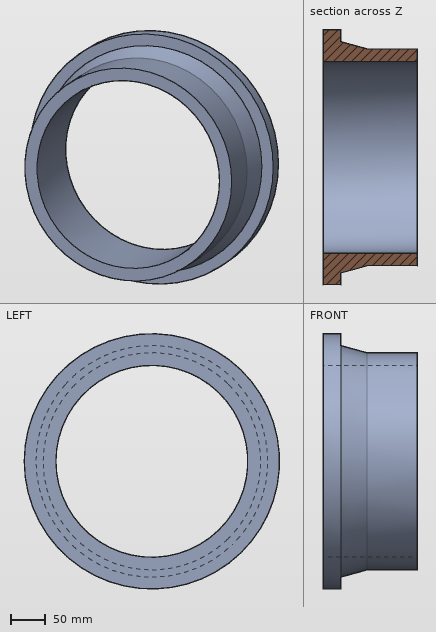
import cadquery as cq

flange_diameter = 370.0
hub_diameter = 335.5
pipe_diameter = 315.0
bore_diameter = 277.5

total_length = 136.0
flange_thickness = 25.5
taper_end = 63.3

face_x = -total_length / 2
pipe_end_x = total_length / 2
flange_back_x = face_x + flange_thickness
taper_end_x = face_x + taper_end

half_section = (
    cq.Workplane("XY")
    .moveTo(face_x, bore_diameter / 2)
    .lineTo(face_x, flange_diameter / 2)
    .lineTo(flange_back_x, flange_diameter / 2)
    .lineTo(flange_back_x, hub_diameter / 2)
    .lineTo(taper_end_x, pipe_diameter / 2)
    .lineTo(pipe_end_x, pipe_diameter / 2)
    .lineTo(pipe_end_x, bore_diameter / 2)
    .close()
)

result = half_section.revolve(360, (0, 0, 0), (1, 0, 0))